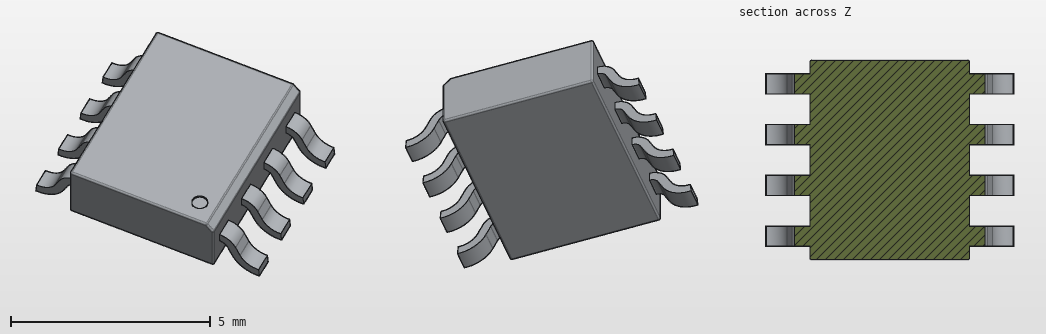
import cadquery as cq
import math

body_length_x = 4.0
body_width_y = 5.0
standoff = 0.2
overall_height = 1.75
body_height = overall_height - standoff
edge_radius = 0.05
pin_one_bevel = 0.2

dot_diameter = 0.4
dot_depth = 0.05
dot_x = 1.34
dot_y = -1.93

leads_per_side = 4
lead_pitch = 1.27
lead_width = 0.51
lead_thickness = 0.25
lead_span = 6.22
lead_top = 1.07
lead_embed = 0.3
shoulder_radius = 0.375
foot_radius = 0.65
foot_upturn = math.radians(5)


def make_body():
    """Box with one long top edge bevelled; all edges are then rounded."""
    block = cq.Workplane("XY").box(
        body_length_x, body_width_y, body_height, centered=(True, True, False)
    )
    block = block.translate((0, 0, standoff))
    block = block.edges(">X and >Z").chamfer(pin_one_bevel)
    return block.edges().fillet(edge_radius)


def cut_dot(body):
    """Shallow round mark beside pin one."""
    cutter = (
        cq.Workplane("XY", origin=(dot_x, dot_y, overall_height - dot_depth))
        .circle(dot_diameter / 2)
        .extrude(dot_depth)
    )
    return body.cut(cutter)


def polar(centre, radius, angle):
    """Point at the given radius and angle (radians) around a centre."""
    return (
        centre[0] + radius * math.cos(angle),
        centre[1] + radius * math.sin(angle),
    )


def make_lead():
    """Lead on the +X side: shoulder arc, tangent slope and foot arc, centred on Y = 0."""
    half = lead_thickness / 2
    shoulder_outer = shoulder_radius + half
    shoulder_inner = shoulder_radius - half
    foot_outer = foot_radius + half
    foot_inner = foot_radius - half

    body_face = body_length_x / 2
    root_x = body_face - lead_embed
    tip_x = lead_span / 2
    shoulder_centre = (body_face, lead_top - shoulder_outer)
    foot_centre = (tip_x - foot_outer * math.sin(foot_upturn), foot_outer)

    run = foot_centre[0] - shoulder_centre[0]
    rise = foot_centre[1] - shoulder_centre[1]
    centre_distance = math.hypot(run, rise)
    slope = math.asin((shoulder_radius + foot_radius) / centre_distance) - math.atan2(rise, run)

    shoulder_start = math.pi / 2
    shoulder_end = shoulder_start - slope
    shoulder_mid = (shoulder_start + shoulder_end) / 2
    foot_start = shoulder_end - math.pi
    foot_end = -math.pi / 2 + foot_upturn
    foot_mid = (foot_start + foot_end) / 2

    profile = (
        cq.Workplane("XZ", origin=(0, lead_width / 2, 0))
        .moveTo(root_x, lead_top)
        .lineTo(body_face, lead_top)
        .threePointArc(
            polar(shoulder_centre, shoulder_outer, shoulder_mid),
            polar(shoulder_centre, shoulder_outer, shoulder_end),
        )
        .lineTo(*polar(foot_centre, foot_inner, foot_start))
        .threePointArc(
            polar(foot_centre, foot_inner, foot_mid),
            polar(foot_centre, foot_inner, foot_end),
        )
        .lineTo(*polar(foot_centre, foot_outer, foot_end))
        .threePointArc(
            polar(foot_centre, foot_outer, foot_mid),
            polar(foot_centre, foot_outer, foot_start),
        )
        .lineTo(*polar(shoulder_centre, shoulder_inner, shoulder_end))
        .threePointArc(
            polar(shoulder_centre, shoulder_inner, shoulder_mid),
            polar(shoulder_centre, shoulder_inner, shoulder_start),
        )
        .lineTo(root_x, lead_top - lead_thickness)
        .close()
    )
    return profile.extrude(lead_width)


def add_leads(body):
    """Row of leads at the lead pitch along both long sides."""
    right_lead = make_lead()
    left_lead = right_lead.mirror("YZ")
    for index in range(leads_per_side):
        lead_y = (index - (leads_per_side - 1) / 2) * lead_pitch
        body = body.union(right_lead.translate((0, lead_y, 0)))
        body = body.union(left_lead.translate((0, lead_y, 0)))
    return body


result = add_leads(cut_dot(make_body()))